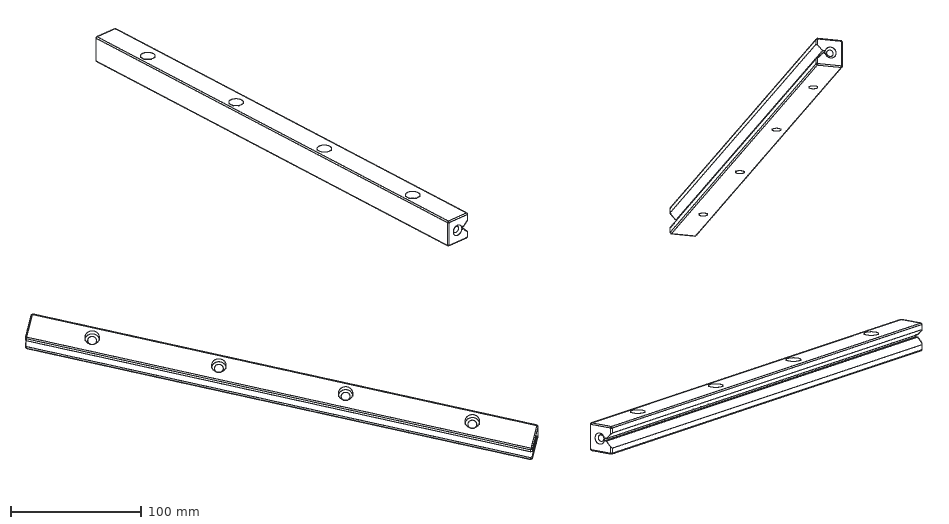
import cadquery as cq

LENGTH = 400.0
WIDTH = 21.0
HEIGHT = 22.0

LONG_EDGE_CHAMFER = 1.0
END_CHAMFER = 1.0

RACEWAY_HALF_MOUTH = 6.0
RELIEF_HEIGHT = 2.0
RELIEF_DEPTH = 7.0

HOLE_COUNT = 4
HOLE_PITCH = LENGTH / HOLE_COUNT
HOLE_Y = -1.5
HOLE_DIAMETER = 7.0
COUNTERBORE_DIAMETER = 11.0
COUNTERBORE_DEPTH = 6.0

END_HOLE_Y = -1.0
END_HOLE_DIAMETER = 5.0
END_HOLE_DEPTH = 16.0
END_COUNTERSINK_DIAMETER = 9.0
COUNTERSINK_ANGLE = 90


def make_bar():
    """Rectangular bar with all its outer edges chamfered."""
    bar = cq.Workplane("XY").box(LENGTH, WIDTH, HEIGHT)
    bar = bar.edges("|X").chamfer(LONG_EDGE_CHAMFER)
    return bar.faces("<X or >X").edges().chamfer(END_CHAMFER)


def make_raceway():
    """Cutter for the 45 degree V groove and its relief slot."""
    side = WIDTH / 2
    half_relief = RELIEF_HEIGHT / 2
    slot_start = side - (RACEWAY_HALF_MOUTH - half_relief)
    slot_end = side - RELIEF_DEPTH
    profile = [
        (side, RACEWAY_HALF_MOUTH),
        (slot_start, half_relief),
        (slot_end, half_relief),
        (slot_end, -half_relief),
        (slot_start, -half_relief),
        (side, -RACEWAY_HALF_MOUTH),
    ]
    return cq.Workplane("YZ").polyline(profile).close().extrude(LENGTH / 2, both=True)


def cut_mounting_holes(rail):
    """Row of vertical through holes, counterbored from the top."""
    return (
        rail.faces(">Z").workplane(origin=(0, HOLE_Y, 0))
        .rarray(HOLE_PITCH, 4, HOLE_COUNT, 1)
        .cboreHole(HOLE_DIAMETER, COUNTERBORE_DIAMETER, COUNTERBORE_DEPTH)
    )


def cut_end_holes(rail):
    """Countersunk hole along X in both end faces."""
    for end in ("<X", ">X"):
        rail = (
            rail.faces(end).workplane(origin=(0, END_HOLE_Y, 0))
            .cskHole(END_HOLE_DIAMETER, END_COUNTERSINK_DIAMETER, COUNTERSINK_ANGLE, END_HOLE_DEPTH)
        )
    return rail


rail = make_bar().cut(make_raceway())
rail = cut_mounting_holes(rail)
result = cut_end_holes(rail)